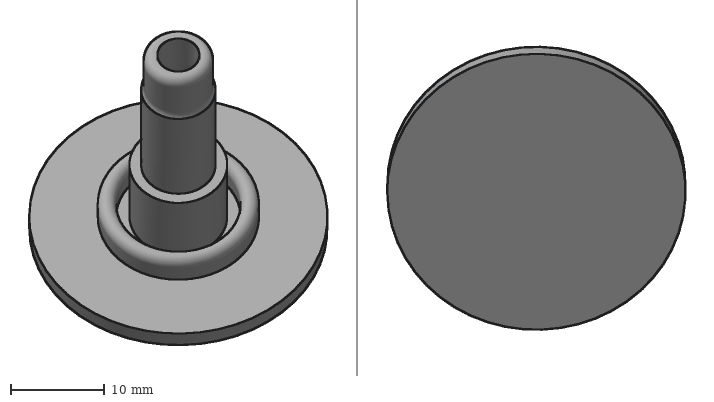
import cadquery as cq
import math

flange_diameter = 32.0
ring_outer_diameter = 17.3
ring_inner_diameter = 13.3
hub_diameter = 10.5
stem_diameter = 8.0
tip_diameter = 7.5
tip_rim_diameter = 5.5
bore_diameter = 4.5

flange_top = 2.0
ring_top = 5.0
hub_top = 11.0
shoulder_start = 24.0
tip_top = 30.0

shoulder_radius = 1.0
ring_round = (ring_outer_diameter - ring_inner_diameter) / 4
tip_round = (tip_diameter - tip_rim_diameter) / 2


def cylinder(diameter, bottom, top):
    """Upright cylinder on the Z axis between two heights."""
    return cq.Workplane("XY").workplane(offset=bottom).circle(diameter / 2).extrude(top - bottom)


def make_ring():
    """Raised ring on the flange, with a half-round crest."""
    inner = ring_inner_diameter / 2
    outer = ring_outer_diameter / 2
    crest_start = ring_top - ring_round
    return (
        cq.Workplane("XZ")
        .moveTo(inner, 0)
        .lineTo(outer, 0)
        .lineTo(outer, crest_start)
        .threePointArc(((inner + outer) / 2, ring_top), (inner, crest_start))
        .close()
        .revolve(360, (0, 0, 0), (0, 1, 0))
    )


def make_shoulder():
    """Concave flare that leaves the tip wall tangentially and ends at the stem edge."""
    step = (stem_diameter - tip_diameter) / 2
    sweep = math.acos(1 - step / shoulder_radius)
    arc_center_x = tip_diameter / 2 + shoulder_radius
    shoulder_end = shoulder_start + shoulder_radius * math.sin(sweep)
    arc_middle = (
        arc_center_x - shoulder_radius * math.cos(sweep / 2),
        shoulder_end - shoulder_radius * math.sin(sweep / 2),
    )
    return (
        cq.Workplane("XZ")
        .moveTo(0, shoulder_start)
        .lineTo(stem_diameter / 2, shoulder_start)
        .threePointArc(arc_middle, (tip_diameter / 2, shoulder_end))
        .lineTo(0, shoulder_end)
        .close()
        .revolve(360, (0, 0, 0), (0, 1, 0))
    )


flange = cylinder(flange_diameter, 0, flange_top)
hub = cylinder(hub_diameter, 0, hub_top)
stem = cylinder(stem_diameter, 0, shoulder_start)
tip = cylinder(tip_diameter, shoulder_start, tip_top).faces(">Z").edges().fillet(tip_round)
bore = cylinder(bore_diameter, flange_top, tip_top)

result = flange.union(make_ring()).union(hub).union(stem).union(make_shoulder()).union(tip).cut(bore)